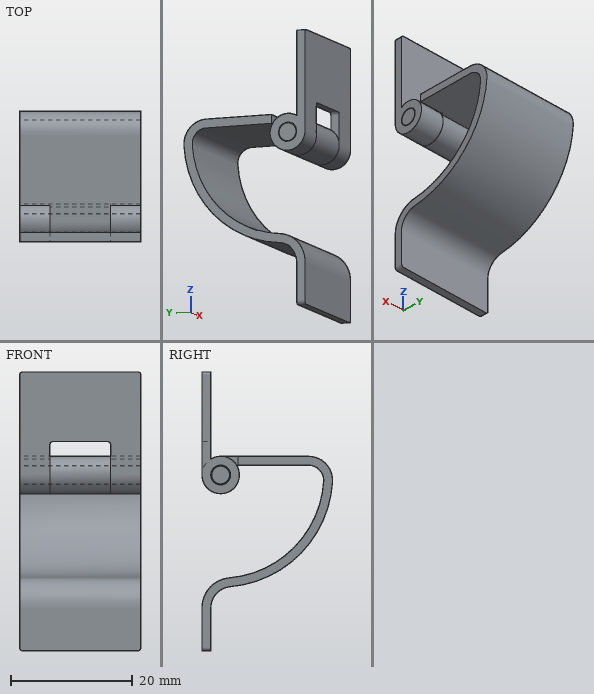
import cadquery as cq
import math


width = 20.0
thickness = 1.5
corner_radius = 0.5
pin_radius = 1.5
pin_clearance = 0.1
bore_radius = pin_radius + pin_clearance
knuckle_radius = bore_radius + thickness
clip_knuckle_width = width / 2
front_y = -knuckle_radius
back_y = front_y + thickness

leaf_top_z = 17.0
leaf_window_top_z = 5.5

clip_bottom_z = -29.0
clip_notch_y = 2.9
belly_inner_radius = 17.0
belly_outer_radius = belly_inner_radius + thickness
shoulder_inner_radius = 2.5
shoulder_outer_radius = shoulder_inner_radius + thickness
foot_inner_radius = 3.5
foot_outer_radius = foot_inner_radius + thickness

shoulder_z = knuckle_radius - shoulder_outer_radius
shoulder_distance = belly_inner_radius - shoulder_inner_radius
shoulder_y = math.sqrt(shoulder_distance**2 - shoulder_z**2)
foot_y = front_y + foot_outer_radius
foot_distance = belly_inner_radius + foot_outer_radius
foot_z = -math.sqrt(foot_distance**2 - foot_y**2)

up = math.pi / 2
front = math.pi
shoulder_angle = math.atan2(shoulder_z, shoulder_y)
foot_angle = math.atan2(foot_z, foot_y)
foot_bend_angle = foot_angle + math.pi


def polar(centre, radius, angle):
    """Point at a radius and angle around a centre in the YZ plane."""
    return (centre[0] + radius * math.cos(angle), centre[1] + radius * math.sin(angle))


def add_arc(outline, centre, radius, start, end):
    """Continue an outline along an arc, from its start angle to its end angle."""
    return outline.threePointArc(polar(centre, radius, (start + end) / 2), polar(centre, radius, end))


def cylinder(radius, length):
    """Cylinder on the hinge axis, centred in X."""
    return cq.Workplane("YZ").circle(radius).extrude(length / 2, both=True)


def make_strip():
    """Bent strip: top plate, shoulder bend, belly, foot bend and flat foot."""
    hinge = (0, 0)
    shoulder = (shoulder_y, shoulder_z)
    foot = (foot_y, foot_z)

    outline = cq.Workplane("YZ").moveTo(0, knuckle_radius).lineTo(shoulder_y, knuckle_radius)
    outline = add_arc(outline, shoulder, shoulder_outer_radius, up, shoulder_angle)
    outline = add_arc(outline, hinge, belly_outer_radius, shoulder_angle, foot_angle)
    outline = add_arc(outline, foot, foot_inner_radius, foot_bend_angle, front)
    outline = outline.lineTo(back_y, clip_bottom_z).lineTo(front_y, clip_bottom_z).lineTo(front_y, foot_z)
    outline = add_arc(outline, foot, foot_outer_radius, front, foot_bend_angle)
    outline = add_arc(outline, hinge, belly_inner_radius, foot_angle, shoulder_angle)
    outline = add_arc(outline, shoulder, shoulder_inner_radius, shoulder_angle, up)
    outline = outline.lineTo(0, bore_radius).close()
    strip = outline.extrude(width / 2, both=True)
    return strip.edges("|Y").edges("<Z").fillet(corner_radius)


def make_clip():
    """Strip with a central knuckle, notched on both sides to clear the leaf knuckles."""
    clip = make_strip()
    notch_width = (width - clip_knuckle_width) / 2
    notch = cq.Workplane().box(notch_width, clip_notch_y, knuckle_radius, centered=(True, False, False))
    for side in (-1, 1):
        clip = clip.cut(notch.translate((side * (width - notch_width) / 2, 0, 0)))
    clip = clip.union(cylinder(knuckle_radius, clip_knuckle_width))
    return clip.cut(cylinder(bore_radius, width))


def make_leaf():
    """Flat leaf with a knuckle at each side and a window around the clip knuckle."""
    plate = (
        cq.Workplane()
        .box(width, thickness, leaf_top_z, centered=(True, False, False))
        .translate((0, front_y, 0))
        .edges("|Y and >Z")
        .fillet(corner_radius)
    )
    window_height = leaf_window_top_z + knuckle_radius
    window = (
        cq.Workplane()
        .box(clip_knuckle_width, 2 * knuckle_radius, window_height, centered=(True, True, False))
        .translate((0, 0, -knuckle_radius))
        .edges("|Y and >Z")
        .fillet(corner_radius)
    )
    leaf = plate.union(cylinder(knuckle_radius, width))
    return leaf.cut(window).cut(cylinder(bore_radius, width))


clip = make_clip()
leaf = make_leaf()
pin = cylinder(pin_radius, width)

result = cq.Compound.makeCompound([clip.val(), leaf.val(), pin.val()])